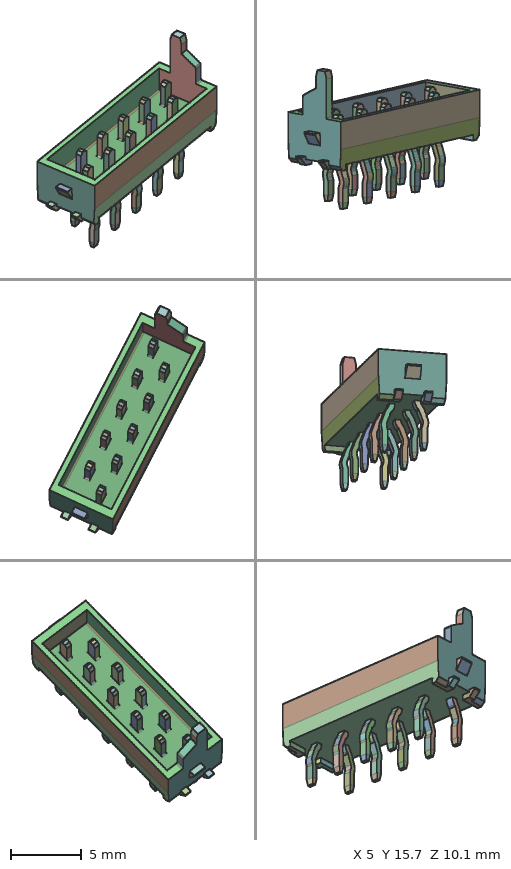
import cadquery as cq
import math


LENGTH = 15.73
LATCH_REACH = 0.49
BODY_LENGTH = LENGTH - 2 * LATCH_REACH
BODY_WIDTH = 5.0
BODY_TOP = 3.18
DRAFT_START = 1.2
DRAFT_INSET = 0.1
END_WALL = 0.63
SIDE_WALL = 0.42
FLOOR_TOP = 1.32
FLOOR_FILLET = 0.11

FOOT_DEPTH = 0.42
FOOT_INNER_X = 0.82
FOOT_CHAMFER_OUT = 0.28
FOOT_CHAMFER_UP = 0.31

LATCH_TOP_WIDTH = 1.02
LATCH_BOTTOM_WIDTH = 1.12
LATCH_TOP = 2.09
LATCH_BOTTOM = 1.18
SNAP_WIDTH = 0.53
SNAP_TOP = 0.2
LIP_HEIGHT = 0.11

KEY_TOP = 6.59
KEY_HALF_WIDTH = 1.12
KEY_STEP_X = -0.13
KEY_STEP_Z = 5.27
KEY_SHOULDER_Z = 4.58
KEY_TIP_INSET = 0.14
KEY_TIP_HEIGHT = 0.49
KEY_SHOULDER_FILLET = 0.19
KEY_ROOT_FILLET = 0.11

PIN_COUNT = 10
PIN_PITCH = 1.27
PIN_ROW_X = 0.75
PIN_THICKNESS = 0.42
BLADE_WIDTH = 0.69
BLADE_TOP = 3.18
BLADE_CHAMFER = 0.2
BLADE_ROOT_FILLET = 0.11
LEG_WIDTH = 0.58
LEG_X = 1.27
LEG_THICKNESS = 0.42
LEG_END = -3.5
LEG_KINK_Z = -2.0
LEG_TAPER_START = -3.04
LEG_TIP_THICKNESS = 0.25
LEG_TIP_WIDTH = 0.47
UPPER_BEND_RADIUS = 0.47
UPPER_BEND_ANGLE = 37.0
UPPER_KINK_OUTER = (1.25, -0.58)
UPPER_KINK_INNER = (0.83, -0.66)
LOWER_BEND_CENTER = (0.65, -1.59)
LOWER_BEND_INNER_RADIUS = 0.52
LOWER_BEND_OUTER_RADIUS = 0.91
LOWER_BEND_START = 20.0
LOWER_BEND_END = -17.0


def box(x0, x1, y0, y1, z0, z1):
    """Box between two opposite corners."""
    return cq.Workplane("XY").box(x1 - x0, y1 - y0, z1 - z0, centered=False).translate((x0, y0, z0))


def both_sides(solid, plane):
    """A solid joined with its mirror image."""
    return solid.union(solid.mirror(plane))


def polar(center, radius, degrees):
    """Point at an angle on a circle."""
    angle = math.radians(degrees)
    return (center[0] + radius * math.cos(angle), center[1] + radius * math.sin(angle))


def housing():
    half_width = BODY_WIDTH / 2
    half_length = BODY_LENGTH / 2
    inner_y = half_length - END_WALL
    shell = (
        cq.Workplane("XZ")
        .moveTo(-half_width, BODY_TOP)
        .lineTo(half_width, BODY_TOP)
        .lineTo(half_width, DRAFT_START)
        .lineTo(half_width - DRAFT_INSET, -FOOT_DEPTH)
        .lineTo(-half_width + DRAFT_INSET, -FOOT_DEPTH)
        .lineTo(-half_width, DRAFT_START)
        .close()
        .extrude(half_length, both=True)
    )

    shell = shell.cut(box(-half_width, half_width, -inner_y, inner_y, -FOOT_DEPTH, 0))
    shell = shell.cut(box(-FOOT_INNER_X, FOOT_INNER_X, -half_length, half_length, -FOOT_DEPTH, 0))

    foot_corner = (
        cq.Workplane("YZ")
        .moveTo(half_length, -FOOT_DEPTH)
        .lineTo(half_length, -FOOT_DEPTH + FOOT_CHAMFER_UP)
        .lineTo(half_length - FOOT_CHAMFER_OUT, -FOOT_DEPTH)
        .close()
        .extrude(half_width, both=True)
    )
    shell = shell.cut(both_sides(foot_corner, "XZ"))

    inner_x = half_width - SIDE_WALL
    cavity = box(-inner_x, inner_x, -inner_y, inner_y, FLOOR_TOP, BODY_TOP)
    cavity = cavity.edges("|Y and <Z").fillet(FLOOR_FILLET)
    return shell.cut(cavity)


def wedge(width, top, bottom, root_y):
    """Latch wedge on the +Y end, with a flat top and a sloping underside."""
    end_y = BODY_LENGTH / 2
    return (
        cq.Workplane("YZ")
        .moveTo(root_y, top)
        .lineTo(end_y + LATCH_REACH, top)
        .lineTo(end_y + LATCH_REACH, top - LIP_HEIGHT)
        .lineTo(end_y, bottom)
        .lineTo(root_y, bottom)
        .close()
        .extrude(width / 2, both=True)
    )


def end_latches():
    end_y = BODY_LENGTH / 2
    root_y = end_y - END_WALL

    flanks = (
        cq.Workplane("XZ")
        .moveTo(-LATCH_BOTTOM_WIDTH / 2, LATCH_BOTTOM)
        .lineTo(LATCH_BOTTOM_WIDTH / 2, LATCH_BOTTOM)
        .lineTo(LATCH_TOP_WIDTH / 2, LATCH_TOP)
        .lineTo(-LATCH_TOP_WIDTH / 2, LATCH_TOP)
        .close()
        .extrude(-LENGTH / 2)
    )
    latches = wedge(LATCH_BOTTOM_WIDTH, LATCH_TOP, LATCH_BOTTOM, root_y).intersect(flanks)

    snap = wedge(SNAP_WIDTH, SNAP_TOP, -FOOT_DEPTH, root_y)
    snap = snap.translate((FOOT_INNER_X + SNAP_WIDTH / 2, 0, 0))
    return both_sides(latches.union(both_sides(snap, "YZ")), "XZ")


def polarizing_key():
    end_y = BODY_LENGTH / 2
    left = -KEY_HALF_WIDTH
    right = KEY_HALF_WIDTH
    root = KEY_ROOT_FILLET
    root_mid = root * (1 - math.sqrt(0.5))
    return (
        cq.Workplane("XZ", origin=(0, end_y, 0))
        .moveTo(left - root, BODY_TOP)
        .threePointArc((left - root_mid, BODY_TOP + root_mid), (left, BODY_TOP + root))
        .lineTo(left, KEY_TOP - KEY_TIP_HEIGHT)
        .lineTo(left + KEY_TIP_INSET, KEY_TOP)
        .lineTo(KEY_STEP_X - KEY_TIP_INSET, KEY_TOP)
        .lineTo(KEY_STEP_X, KEY_TOP - KEY_TIP_HEIGHT)
        .lineTo(KEY_STEP_X, KEY_STEP_Z)
        .lineTo(right, KEY_SHOULDER_Z)
        .lineTo(right, BODY_TOP + root)
        .threePointArc((right + root_mid, BODY_TOP + root_mid), (right + root, BODY_TOP))
        .lineTo(right + root, FLOOR_TOP)
        .lineTo(left - root, FLOOR_TOP)
        .close()
        .extrude(END_WALL)
        .edges(cq.selectors.NearestToPointSelector((right, end_y - END_WALL / 2, KEY_SHOULDER_Z)))
        .fillet(KEY_SHOULDER_FILLET)
    )


def pin_leg():
    """Bent leg of a pin of the +X row, from inside the floor down to its tapered tip."""
    row_inner = PIN_ROW_X - PIN_THICKNESS / 2
    row_outer = PIN_ROW_X + PIN_THICKNESS / 2
    leg_inner = LEG_X - LEG_THICKNESS / 2
    leg_outer = LEG_X + LEG_THICKNESS / 2

    upper_center = (row_outer + UPPER_BEND_RADIUS, 0)
    upper_outer_radius = UPPER_BEND_RADIUS
    upper_inner_radius = UPPER_BEND_RADIUS + PIN_THICKNESS
    upper_end = 180 + UPPER_BEND_ANGLE
    upper_mid = 180 + UPPER_BEND_ANGLE / 2

    lower_mid = (LOWER_BEND_START + LOWER_BEND_END) / 2

    def lower_outer(degrees):
        return polar(LOWER_BEND_CENTER, LOWER_BEND_OUTER_RADIUS, degrees)

    def lower_inner(degrees):
        return polar(LOWER_BEND_CENTER, LOWER_BEND_INNER_RADIUS, degrees)

    leg = (
        cq.Workplane("XZ")
        .moveTo(row_inner, FLOOR_TOP)
        .lineTo(row_outer, FLOOR_TOP)
        .lineTo(row_outer, 0)
        .threePointArc(
            polar(upper_center, upper_outer_radius, upper_mid),
            polar(upper_center, upper_outer_radius, upper_end),
        )
        .lineTo(*UPPER_KINK_OUTER)
        .lineTo(*lower_outer(LOWER_BEND_START))
        .threePointArc(lower_outer(lower_mid), lower_outer(LOWER_BEND_END))
        .lineTo(leg_outer, LEG_KINK_Z)
        .lineTo(leg_outer, LEG_TAPER_START)
        .lineTo(leg_inner, LEG_TAPER_START)
        .lineTo(leg_inner, LEG_KINK_Z)
        .lineTo(*lower_inner(LOWER_BEND_END))
        .threePointArc(lower_inner(lower_mid), lower_inner(LOWER_BEND_START))
        .lineTo(*UPPER_KINK_INNER)
        .lineTo(*polar(upper_center, upper_inner_radius, upper_end))
        .threePointArc(polar(upper_center, upper_inner_radius, upper_mid), (row_inner, 0))
        .close()
        .extrude(LEG_WIDTH / 2, both=True)
    )
    tip = (
        cq.Workplane("XY", origin=(LEG_X, 0, LEG_TAPER_START))
        .rect(LEG_THICKNESS, LEG_WIDTH)
        .workplane(offset=LEG_END - LEG_TAPER_START)
        .rect(LEG_TIP_THICKNESS, LEG_TIP_WIDTH)
        .loft(ruled=True)
    )
    return leg.union(tip)


def pin():
    """Complete pin of the +X row at Y = 0."""
    half_width = BLADE_WIDTH / 2
    half_tip = half_width - BLADE_CHAMFER
    root = BLADE_ROOT_FILLET
    root_mid = root * (1 - math.sqrt(0.5))
    blade = (
        cq.Workplane("YZ", origin=(PIN_ROW_X, 0, 0))
        .moveTo(half_width + root, 0)
        .lineTo(half_width + root, FLOOR_TOP)
        .threePointArc((half_width + root_mid, FLOOR_TOP + root_mid), (half_width, FLOOR_TOP + root))
        .lineTo(half_width, BLADE_TOP - BLADE_CHAMFER)
        .lineTo(half_tip, BLADE_TOP)
        .lineTo(-half_tip, BLADE_TOP)
        .lineTo(-half_width, BLADE_TOP - BLADE_CHAMFER)
        .lineTo(-half_width, FLOOR_TOP + root)
        .threePointArc((-half_width - root_mid, FLOOR_TOP + root_mid), (-half_width - root, FLOOR_TOP))
        .lineTo(-half_width - root, 0)
        .close()
        .extrude(PIN_THICKNESS / 2, both=True)
    )
    return blade.union(pin_leg())


result = housing().union(end_latches()).union(polarizing_key())

right_pin = pin()
left_pin = right_pin.mirror("YZ")
first_pin_y = -PIN_PITCH * (PIN_COUNT - 1) / 2
for index in range(PIN_COUNT):
    row_pin = left_pin if index % 2 else right_pin
    result = result.union(row_pin.translate((0, first_pin_y + index * PIN_PITCH, 0)))